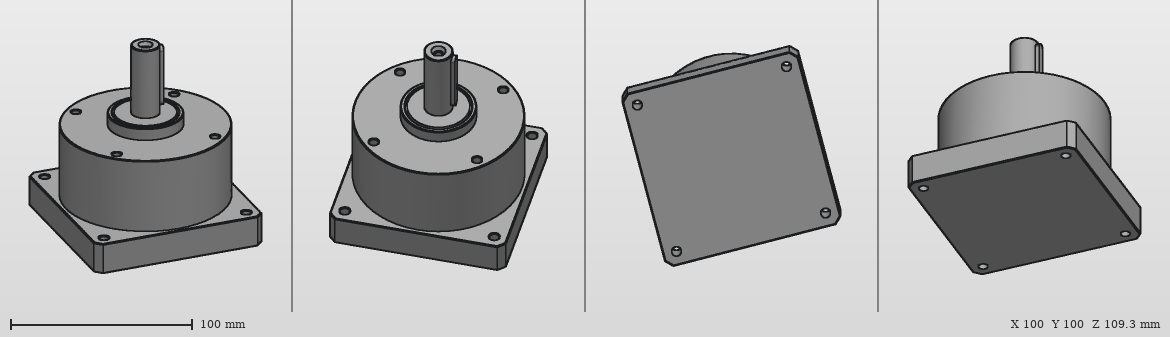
import cadquery as cq
import math

flange_side = 100.0
flange_height = 18.0
corner_diameter = 136.0
case_diameter = 95.0
case_top = 60.9
collar_diameter = 42.0
collar_top = 68.1
edge_chamfer = 0.5

groove_inner_diameter = 34.5
groove_outer_diameter = 37.0
groove_rim_chamfer = 0.3
groove_depth = 3.3

shaft_diameter = 16.0
shaft_top = 109.3
shaft_chamfer = 0.5
centre_mouth_diameter = 8.0
centre_step_diameter = 5.2
centre_cone_depth = 2.2
centre_step_depth = 2.7
centre_drill_diameter = 4.2
centre_drill_depth = 13.1

flange_hole_diameter = 5.2
flange_hole_offset = 42.4
case_hole_diameter = 4.9
case_hole_offset = 29.3
case_hole_depth = 10.9
hole_rim_chamfer = 0.5
drill_tip_angle = 118.0

key_width = 5.0
key_thickness = 5.0
key_length = 36.0
key_outer_y = 10.0
key_top = 107.3


def chamfered_disc(diameter, bottom, top, chamfer):
    disc = cq.Workplane("XY", origin=(0, 0, bottom)).circle(diameter / 2).extrude(top - bottom)
    return disc.faces(">Z").chamfer(chamfer)


def drill_tip_height(diameter):
    return diameter / 2 / math.tan(math.radians(drill_tip_angle / 2))


def revolved(profile):
    """Revolve a closed (radius, height) profile about the Z axis."""
    return cq.Workplane("XZ").polyline(profile).close().revolve(360, (0, 0, 0), (0, 1, 0))


def square_pattern(tool, offset):
    return [tool.translate((x, y, 0)) for x in (-offset, offset) for y in (-offset, offset)]


def make_flange():
    flange = cq.Workplane("XY").rect(flange_side, flange_side).extrude(flange_height)
    flange = flange.intersect(cq.Workplane("XY").circle(corner_diameter / 2).extrude(flange_height))
    return flange.faces("<Z or >Z").chamfer(edge_chamfer)


def make_groove():
    inner = groove_inner_diameter / 2
    outer = groove_outer_diameter / 2
    return revolved([
        (inner, collar_top - groove_depth),
        (outer, collar_top - groove_depth),
        (outer, collar_top - groove_rim_chamfer),
        (outer + groove_rim_chamfer, collar_top),
        (inner, collar_top),
    ])


def make_flange_hole():
    radius = flange_hole_diameter / 2
    return revolved([
        (0, 0),
        (radius, 0),
        (radius, flange_height - hole_rim_chamfer),
        (radius + hole_rim_chamfer, flange_height),
        (0, flange_height),
    ])


def make_case_hole():
    radius = case_hole_diameter / 2
    floor = case_top - case_hole_depth
    return revolved([
        (0, floor - drill_tip_height(case_hole_diameter)),
        (radius, floor),
        (radius, case_top - hole_rim_chamfer),
        (radius + hole_rim_chamfer, case_top),
        (0, case_top),
    ])


def make_centre_hole():
    floor = shaft_top - centre_drill_depth
    return revolved([
        (0, floor - drill_tip_height(centre_drill_diameter)),
        (centre_drill_diameter / 2, floor),
        (centre_drill_diameter / 2, shaft_top - centre_step_depth),
        (centre_step_diameter / 2, shaft_top - centre_step_depth),
        (centre_step_diameter / 2, shaft_top - centre_cone_depth),
        (centre_mouth_diameter / 2, shaft_top),
        (0, shaft_top),
    ])


def make_key():
    middle = key_top - key_length / 2
    return (
        cq.Workplane("XZ", origin=(0, key_outer_y, middle))
        .slot2D(key_length, key_width, 90)
        .extrude(key_thickness)
    )


def make_gearbox(key):
    body = make_flange()
    body = body.union(chamfered_disc(case_diameter, flange_height, case_top, edge_chamfer))
    body = body.union(chamfered_disc(collar_diameter, case_top, collar_top, edge_chamfer))
    body = body.cut(make_groove())
    body = body.union(chamfered_disc(shaft_diameter, collar_top, shaft_top, shaft_chamfer))
    body = body.cut(make_centre_hole())
    for hole in square_pattern(make_flange_hole(), flange_hole_offset):
        body = body.cut(hole)
    for hole in square_pattern(make_case_hole(), case_hole_offset):
        body = body.cut(hole)
    return body.cut(key)


key = make_key()
gearbox = make_gearbox(key)

result = cq.Compound.makeCompound([gearbox.val(), key.val()])